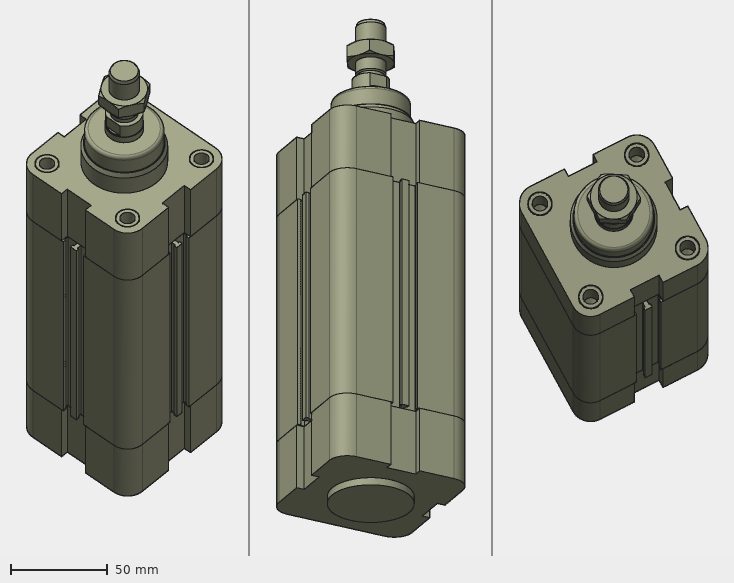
import cadquery as cq
import math


body_width = 77.5
corner_radius = 10.5
half_width = body_width / 2

total_height = 274.0
spigot_height = 4.0
cap_height = 36.0
barrel_height = 129.0
barrel_bottom = spigot_height + cap_height
front_cap_bottom = barrel_bottom + barrel_height
front_cap_top = front_cap_bottom + cap_height

cap_groove_width = 16.7
barrel_groove_width = 15.5
groove_depth = 4.5
mouth_width = 14.2
lip_thickness = 2.0
rib_head_width = 4.0
rib_stem_width = 2.5
groove_turns = (0, 90, -90)
groove_floor = groove_depth - half_width
lip_inner = lip_thickness - half_width

corner_hole_offset = 28.2
corner_hole_diameter = 8.0
corner_hole_depth = 16.0
ring_inner_diameter = 12.0
ring_outer_diameter = 12.5
ring_depth = 1.5
drill_point_angle = 118

boss_diameter = 45.0
boss_height = 14.0
boss_chamfer_height = 2.5
boss_chamfer_width = 1.5
bearing_diameter = 41.0
bearing_height = 11.0
bearing_edge_radius = 2.0
boss_top = front_cap_top + boss_height
bearing_top = boss_top + bearing_height

rod_diameter = 20.0
rod_exposed_length = 4.0
flats_diameter = 19.5
neck_shoulder_height = 8.2
flats_lift = 0.8
across_flats = 17.0
neck_diameter = 14.5
neck_length = 2.5
thread_diameter = 16.0
tip_chamfer_height = 2.0
undercut_chamfer_height = 0.8
thread_chamfer_width = (thread_diameter - neck_diameter) / 2
rod_shoulder = bearing_top + rod_exposed_length
flats_bottom = rod_shoulder + flats_lift
flats_top = rod_shoulder + neck_shoulder_height
thread_bottom = flats_top + neck_length

nut_across_flats = 24.0
nut_height = 8.2
nut_bottom = 252.0
nut_top = nut_bottom + nut_height
nut_chamfer_angle = 30
nut_envelope_diameter = 29.0


def cylinder(diameter, bottom, top):
    """Upright cylinder on the Z axis."""
    return cq.Workplane("XY").workplane(offset=bottom).circle(diameter / 2).extrude(top - bottom)


def square_block(bottom, height):
    """Square block with rounded upright edges."""
    block = cq.Workplane("XY").workplane(offset=bottom).rect(body_width, body_width).extrude(height)
    return block.edges("|Z").fillet(corner_radius)


def side_strip(width, inner_y, outer_y, bottom, height):
    """Upright bar at the -Y side, from inner_y out to outer_y and centred on X = 0."""
    return (
        cq.Workplane("XY")
        .workplane(offset=bottom)
        .center(0, (inner_y + outer_y) / 2)
        .rect(width, inner_y - outer_y)
        .extrude(height)
    )


def cut_on_grooved_sides(block, cutter):
    """Cut the -Y side cutter, and its copies on the -X and +X sides, from a block."""
    for turn in groove_turns:
        block = block.cut(cutter.rotate((0, 0, 0), (0, 0, 1), turn))
    return block


def make_cap(bottom):
    """Cap block with plain rectangular grooves."""
    groove = side_strip(cap_groove_width, groove_floor, -half_width, bottom, cap_height)
    return cut_on_grooved_sides(square_block(bottom, cap_height), groove)


def make_barrel():
    """Barrel with lipped grooves that keep a T-shaped rib in the middle."""
    def strip(width, inner_y, outer_y):
        return side_strip(width, inner_y, outer_y, barrel_bottom, barrel_height)

    groove = strip(barrel_groove_width, groove_floor, lip_inner).union(strip(mouth_width, lip_inner, -half_width))
    rib_stem = strip(rib_stem_width, groove_floor, lip_inner)
    rib_head = strip(rib_head_width, lip_inner, -half_width)
    cutter = groove.cut(rib_stem).cut(rib_head)
    return cut_on_grooved_sides(square_block(barrel_bottom, barrel_height), cutter)


def make_corner_cutter():
    """Cutter for one tapped hole and its ring groove, centred on the Z axis."""
    radius = corner_hole_diameter / 2
    bore_bottom = front_cap_top - corner_hole_depth
    point_bottom = bore_bottom - radius / math.tan(math.radians(drill_point_angle / 2))
    profile = [
        (0, point_bottom),
        (radius, bore_bottom),
        (radius, front_cap_top),
        (0, front_cap_top),
    ]
    bore = cq.Workplane("XZ").polyline(profile).close().revolve(360, (0, 0, 0), (0, 1, 0))
    ring_bottom = front_cap_top - ring_depth
    ring = cylinder(ring_outer_diameter, ring_bottom, front_cap_top)
    ring = ring.cut(cylinder(ring_inner_diameter, ring_bottom, front_cap_top))
    return bore.add(ring).combine()


def make_front_cap():
    """Front cap with boss, rod bearing and corner holes; the rod passes through it."""
    boss = cylinder(boss_diameter, front_cap_top, boss_top).faces(">Z").edges()
    boss = boss.chamfer(boss_chamfer_height, boss_chamfer_width)
    bearing = cylinder(bearing_diameter, boss_top, bearing_top).faces(">Z").edges().fillet(bearing_edge_radius)
    cap = make_cap(front_cap_bottom).union(boss).union(bearing)
    cutter = make_corner_cutter()
    for x in (-corner_hole_offset, corner_hole_offset):
        for y in (-corner_hole_offset, corner_hole_offset):
            cap = cap.cut(cutter.translate((x, y, 0)))
    return cap.cut(cylinder(rod_diameter, front_cap_bottom, bearing_top))


def make_rear_cap():
    """Rear cap with its centring spigot."""
    return make_cap(spigot_height).union(cylinder(boss_diameter, 0, spigot_height))


def make_rod():
    """Piston rod with wrench flats, undercut neck and threaded end."""
    shaft = cylinder(rod_diameter, front_cap_bottom, rod_shoulder)
    wrench_section = cylinder(flats_diameter, rod_shoulder, flats_top)
    wrench_bar = cq.Workplane("XY").workplane(offset=flats_bottom).rect(rod_diameter, across_flats)
    off_cuts = cylinder(rod_diameter, flats_bottom, flats_top)
    off_cuts = off_cuts.cut(wrench_bar.extrude(flats_top - flats_bottom))
    wrench_section = wrench_section.cut(off_cuts)
    neck = cylinder(neck_diameter, flats_top, thread_bottom)
    thread = cylinder(thread_diameter, thread_bottom, total_height)
    thread = thread.faces(">Z").edges().chamfer(tip_chamfer_height, thread_chamfer_width)
    thread = thread.faces("<Z").edges().chamfer(undercut_chamfer_height, thread_chamfer_width)
    return shaft.union(wrench_section).union(neck).union(thread)


def make_nut():
    """Hexagon nut with chamfered corners, points along X."""
    across_corners = nut_across_flats / math.cos(math.pi / 6)
    hexagon = cq.Workplane("XY").workplane(offset=nut_bottom).polygon(6, across_corners).extrude(nut_height)
    chamfer_width = (nut_envelope_diameter - nut_across_flats) / 2
    chamfer_height = chamfer_width * math.tan(math.radians(nut_chamfer_angle))
    envelope = cylinder(nut_envelope_diameter, nut_bottom, nut_top)
    envelope = envelope.faces(">Z").edges().chamfer(chamfer_height, chamfer_width)
    envelope = envelope.faces("<Z").edges().chamfer(chamfer_height, chamfer_width)
    return hexagon.intersect(envelope).cut(cylinder(thread_diameter, nut_bottom, nut_top))


rear_cap = make_rear_cap()
barrel = make_barrel()
front_cap = make_front_cap()
rod = make_rod()
nut = make_nut()

result = cq.Compound.makeCompound(
    [rear_cap.val(), barrel.val(), front_cap.val(), rod.val(), nut.val()]
)